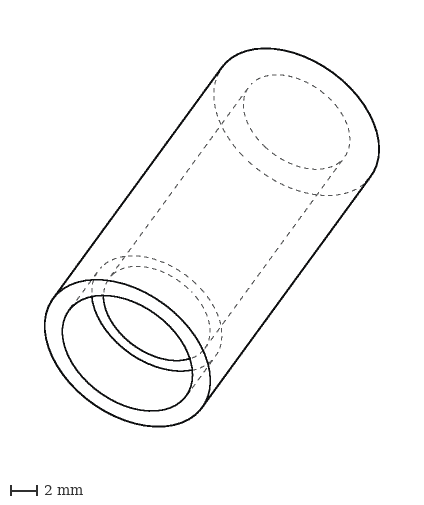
import cadquery as cq

length = 29.0
outer_diameter = 14.0
bore_diameter = 9.0
counterbore_diameter = 11.0
counterbore_depth = 5.0

front_y = -length / 2


def cylinder_from_front(diameter, depth):
    """Cylinder on the Y axis, starting at the front face and running toward +Y."""
    front_plane = cq.Workplane("XZ", origin=(0, front_y, 0))
    return front_plane.circle(diameter / 2).extrude(-depth)


body = cylinder_from_front(outer_diameter, length)
through_bore = cylinder_from_front(bore_diameter, length)
counterbore = cylinder_from_front(counterbore_diameter, counterbore_depth)

result = body.cut(through_bore).cut(counterbore)